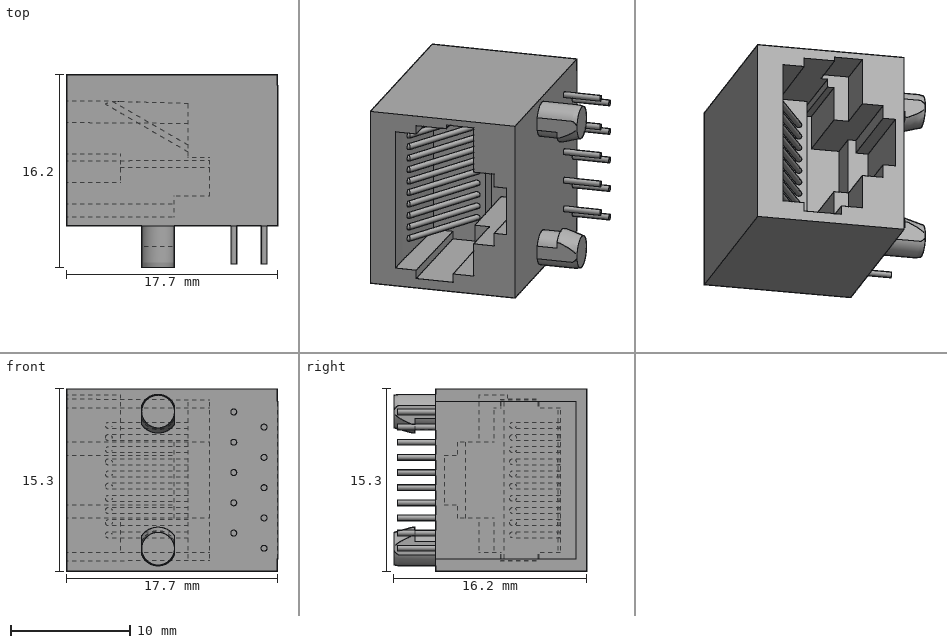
import cadquery as cq
import math


body_depth = 17.67
body_height = 12.7
body_width = 15.3
back_plate_thickness = 0.07
back_plate_height = 11.8
back_plate_width = 13.2

cavity_half_width = 6.06
cavity_top = 10.5
cavity_bottom = 4.91
upper_back_wall = 10.2
upper_wall_bottom = 5.74
lower_back_wall = 12.0
roof_slope_start = 2.05
roof_drop = 0.22

groove_half_width = 6.80
groove_top = 8.67
groove_bottom = 5.43
groove_draft = 0.075

recess_depth = 4.5
recess_bottom = 3.63
recess_wide_side = 7.13
recess_wide_side_top = 6.03

latch_half_width = 3.19
latch_bottom = 1.83
latch_wall_top = 2.51
latch_back_wall = 9.0
tongue_half_width = 2.07
tongue_bottom = 0.76

contact_count = 10
contact_pitch = 1.02
contact_radius = 0.25
contact_start_x = 3.5
contact_bend_y = 10.36
contact_slope = math.radians(30)

embed = 0.5

pin_radius = 0.25
pin_length = 3.2
pin_pitch = 1.27
pins_per_row = 5
near_row_x = 14.02
far_row_x = near_row_x + 2 * pin_pitch
first_pin_z = (pins_per_row - 0.5) * pin_pitch

peg_setback = 6.35
peg_x = near_row_x - peg_setback
peg_z = first_pin_z
peg_length = 3.5
peg_radius = 1.48
peg_flat_width = 2.74
peg_tip_radius = peg_flat_width / 2
peg_tip_height = 0.4
peg_tip_offset = 0.035
barb_start = 1.74
barb_rim_height = 0.21
barb_radius = 1.67
barb_reach = 1.77


def box(x_range, y_range, z_range):
    """Box spanning the given (low, high) ranges."""
    ranges = (x_range, y_range, z_range)
    size = [high - low for low, high in ranges]
    centre = [(high + low) / 2 for low, high in ranges]
    return cq.Workplane("XY").box(*size).translate(tuple(centre))


def across(half_width):
    """Range centred on the middle plane."""
    return (-half_width, half_width)


def post(x, z, radius, start, end):
    """Round post below the board face, between two distances from it."""
    base = cq.Workplane("XZ", origin=(x, -start, z))
    return base.circle(radius).extrude(end - start)


def housing():
    """Plain block with a thin plate on its back."""
    body = box((0, body_depth), (0, body_height), across(body_width / 2))
    plate = box(
        (body_depth - embed, body_depth + back_plate_thickness),
        (0, back_plate_height),
        across(back_plate_width / 2),
    )
    return body.union(plate)


def plug_cavity():
    """Main cavity, with a roof that falls slightly towards the back wall."""
    roof_end = cavity_top - roof_drop
    upper = (
        cq.Workplane("XY", origin=(0, 0, -cavity_half_width))
        .moveTo(0, cavity_bottom)
        .lineTo(0, cavity_top)
        .lineTo(roof_slope_start, cavity_top)
        .lineTo(upper_back_wall, roof_end)
        .lineTo(upper_back_wall, cavity_bottom)
        .close()
        .extrude(2 * cavity_half_width)
    )
    lower = box(
        (0, lower_back_wall),
        (cavity_bottom, upper_wall_bottom),
        across(cavity_half_width),
    )
    return upper.union(lower)


def side_grooves():
    """Groove block reaching both sides of the cavity, narrowing inward."""
    middle_y = (groove_top + groove_bottom) / 2
    height = groove_top - groove_bottom
    width = 2 * groove_half_width
    upper = (
        cq.Workplane("YZ", origin=(0, middle_y, 0))
        .rect(height, width)
        .workplane(offset=upper_back_wall)
        .rect(height - 2 * groove_draft, width - 2 * groove_draft)
        .loft(ruled=True)
    )
    lower = box(
        (upper_back_wall, lower_back_wall),
        (groove_bottom + groove_draft, upper_wall_bottom),
        across(groove_half_width - groove_draft),
    )
    return upper.union(lower)


def mouth_recess():
    """Recess below the cavity floor, reaching further out on the +Z side."""
    low = box((0, recess_depth), (recess_bottom, cavity_bottom), across(cavity_half_width))
    wide = box(
        (0, recess_depth),
        (recess_bottom, recess_wide_side_top),
        (0, recess_wide_side),
    )
    return low.union(wide)


def latch_channel():
    """Stepped channel for the plug latch, between the cavity and the board face."""
    upper = box(
        (0, lower_back_wall),
        (latch_wall_top, upper_wall_bottom),
        across(latch_half_width),
    )
    lower = box((0, latch_back_wall), (latch_bottom, latch_wall_top), across(latch_half_width))
    tongue = box((0, latch_back_wall), (tongue_bottom, latch_bottom), across(tongue_half_width))
    return upper.union(lower).union(tongue)


def contact(z):
    """Wire that leaves the cavity roof and slants into the back wall."""
    end_x = upper_back_wall + embed
    end_y = contact_bend_y - (end_x - contact_start_x) * math.tan(contact_slope)
    start_y = cavity_top + embed
    path = (
        cq.Workplane("XY", origin=(0, 0, z))
        .moveTo(contact_start_x, start_y)
        .lineTo(contact_start_x, contact_bend_y)
        .lineTo(end_x, end_y)
    )
    profile = cq.Workplane("XZ", origin=(contact_start_x, start_y, z)).circle(contact_radius)
    return profile.sweep(path, transition="right")


def peg(side):
    """Barbed board peg with two flats; the barb points to the middle plane."""
    axis_z = side * peg_z
    tip_z = side * (peg_z + peg_tip_offset)
    barb_z = side * (peg_z - barb_reach + barb_radius)
    cone_start = barb_start + barb_rim_height

    def tip_cone(radius, z, start):
        """Cone from a circle at the given start to the round tip face."""
        base = cq.Workplane("XZ", origin=(peg_x, -start, z)).circle(radius)
        rim = base.workplane(offset=peg_length - start).center(0, tip_z - z)
        return rim.circle(peg_tip_radius).loft(ruled=True)

    shaft_end = peg_length - peg_tip_height
    shaft = post(peg_x, axis_z, peg_radius, -embed, barb_start)
    tip = post(peg_x, axis_z, peg_radius, barb_start, shaft_end)
    tip = tip.union(tip_cone(peg_radius, axis_z, shaft_end))
    barb = post(peg_x, barb_z, barb_radius, barb_start, cone_start)
    barb = barb.union(tip_cone(barb_radius, barb_z, cone_start))
    inner_half = box(
        (peg_x - peg_flat_width, peg_x + peg_flat_width),
        (-peg_length, 0),
        tuple(sorted((0, axis_z))),
    )
    flats = box(
        (peg_x - peg_flat_width / 2, peg_x + peg_flat_width / 2),
        (-peg_length, embed),
        across(body_width / 2),
    )
    barbed_tip = tip.cut(inner_half).union(barb.intersect(inner_half))
    return shaft.union(barbed_tip).intersect(flats)


def solder_pins():
    """Two staggered rows of pins."""
    pins = cq.Workplane("XY")
    for index in range(pins_per_row):
        near_z = first_pin_z - 2 * index * pin_pitch
        pins = pins.union(post(near_row_x, near_z, pin_radius, -embed, pin_length))
        pins = pins.union(post(far_row_x, near_z - pin_pitch, pin_radius, -embed, pin_length))
    return pins


result = housing()
for hollow in (plug_cavity(), side_grooves(), mouth_recess(), latch_channel()):
    result = result.cut(hollow)
for index in range(contact_count):
    result = result.union(contact((index - (contact_count - 1) / 2) * contact_pitch))
for side in (-1, 1):
    result = result.union(peg(side))
result = result.union(solder_pins())